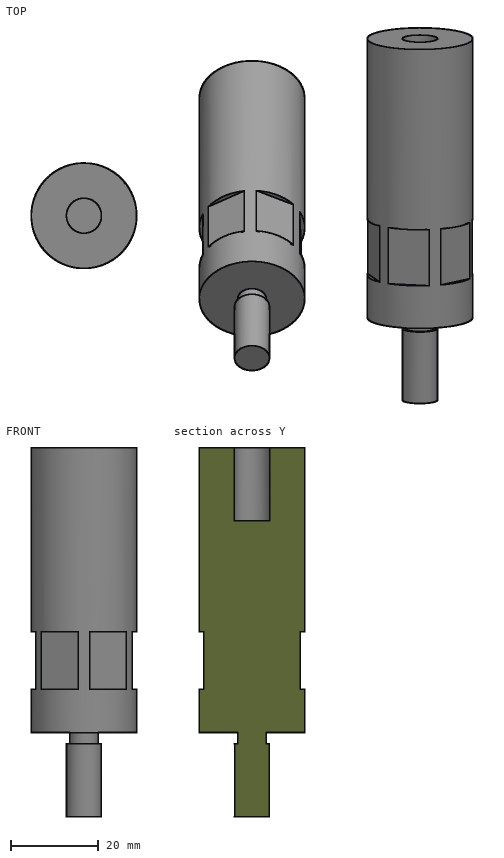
import cadquery as cq

total_length = 84.0
body_diameter = 24.0

stud_diameter = 8.0
neck_diameter = 6.55
neck_length = 2.5
stud_length = 16.6
body_bottom = stud_length + neck_length
body_length = total_length - body_bottom

flat_count = 6
across_flats = 22.0
flats_height = 13.0
collar_height = 9.9
flats_bottom = body_bottom + collar_height

hole_diameter = stud_diameter
hole_depth = stud_length


def cylinder(diameter, bottom, height):
    return cq.Workplane("XY").workplane(offset=bottom).circle(diameter / 2).extrude(height)


def wrench_flat_cutter(angle):
    """Block whose inner face is one wrench flat, turned about the Z axis."""
    block = cq.Workplane("XY").box(
        body_diameter, body_diameter, flats_height, centered=(False, True, False)
    )
    return block.translate((across_flats / 2, 0, flats_bottom)).rotate((0, 0, 0), (0, 0, 1), angle)


result = cylinder(stud_diameter, 0, stud_length)
result = result.union(cylinder(neck_diameter, stud_length, neck_length))
result = result.union(cylinder(body_diameter, body_bottom, body_length))

for index in range(flat_count):
    result = result.cut(wrench_flat_cutter(index * 360 / flat_count))

result = result.cut(cylinder(hole_diameter, total_length - hole_depth, hole_depth))